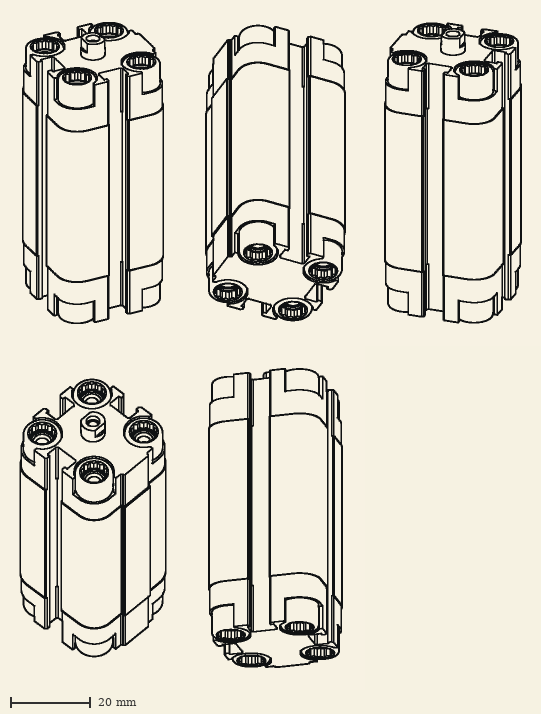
import cadquery as cq
import math

TOTAL_HEIGHT = 72.5
HOUSING_HEIGHT = 68.0
CAP_HEIGHT = 12.5

HALF_WIDTH = 14.5
SCREW_OFFSET = 9.0
CORNER_RADIUS = HALF_WIDTH - SCREW_OFFSET
RIDGE_HALF_WIDTH = 4.7
RIDGE_BASE_BEVEL = 0.3
BARREL_RIDGE_HEIGHT = 1.0
BARREL_RIDGE_BEVEL = 0.15

CAP_INSET = 0.2
CAP_RIDGE_HEIGHT = 0.9
CAP_RIDGE_BEVEL = 0.3

SLOT_NECK_HALF_WIDTH = 2.6
SLOT_HALF_WIDTH = 3.4
SLOT_FLOOR = 9.4
SLOT_LIP = 1.6
BARREL_LIP_CHAMFER = 0.3
CAP_LIP_CHAMFER = 0.4
CAP_SLOT_CHAMFER = 0.4

HEAD_DIAMETER = 9.5
HEAD_HEIGHT = 6.1
HEAD_FILLET = 0.65
POCKET_DIAMETER = 10.1
POCKET_OPENING = 2.3
SOCKET_POINTS = 12
SOCKET_TIP_DIAMETER = 6.8
SOCKET_ROOT_DIAMETER = 6.0
SOCKET_DEPTH = 2.5
SOCKET_MOUTH_DIAMETER = 7.2
SOCKET_LEAD_IN = 0.3
BORE_DIAMETER = 5.7
BORE_DEPTH = 3.1
BORE_CONE_DIAMETER = 4.5
BORE_CONE_DEPTH = 0.7
SCREW_HOLE_DIAMETER = 3.25

ROD_DIAMETER = 6.0
ROD_BURIED_LENGTH = 14.5
ROD_FLAT_WIDTH = 4.9
ROD_FLAT_HEIGHT = 2.6
ROD_HOLE_DIAMETER = 2.5
ROD_HOLE_DEPTH = 7.25
ROD_HOLE_MOUTH_DIAMETER = 3.3
ROD_HOLE_MOUTH_DEPTH = 1.45
DRILL_TIP_ANGLE = 120.0
DRILL_TIP_DEPTH = ROD_HOLE_DIAMETER / 2 / math.tan(math.radians(DRILL_TIP_ANGLE / 2))

SCREW_SPOTS = [(sx * SCREW_OFFSET, sy * SCREW_OFFSET) for sx in (-1, 1) for sy in (-1, 1)]
SLOT_ANGLES = (0, 180, 270)
POCKET_ANGLE = 45.0


def body_block(inset, height, ridge_height, ridge_bevel):
    """Rounded square bar standing on Z = 0, with a bevelled ridge along its +Y side."""
    face = HALF_WIDTH - inset
    bar = (
        cq.Workplane("XY")
        .rect(2 * face, 2 * face)
        .extrude(height)
        .edges("|Z")
        .fillet(CORNER_RADIUS - inset)
    )
    ridge_side = RIDGE_HALF_WIDTH - inset
    ridge_top = face + ridge_height
    right_edge = [
        (ridge_side + RIDGE_BASE_BEVEL, 0),
        (ridge_side + RIDGE_BASE_BEVEL, face),
        (ridge_side, face + RIDGE_BASE_BEVEL),
        (ridge_side, ridge_top - ridge_bevel),
        (ridge_side - ridge_bevel, ridge_top),
    ]
    left_edge = [(-x, y) for x, y in reversed(right_edge)]
    ridge = cq.Workplane("XY").polyline(right_edge + left_edge).close().extrude(height)
    return bar.union(ridge)


def slot_cutter(inset, height, lip_chamfer):
    """Plain T-slot along the +X side, with the outer edges of its neck bevelled."""
    face = HALF_WIDTH - inset
    lip_inside = HALF_WIDTH - SLOT_LIP
    upper_edge = [
        (SLOT_FLOOR, SLOT_HALF_WIDTH),
        (lip_inside, SLOT_HALF_WIDTH),
        (lip_inside, SLOT_NECK_HALF_WIDTH),
        (face - lip_chamfer, SLOT_NECK_HALF_WIDTH),
        (face, SLOT_NECK_HALF_WIDTH + lip_chamfer),
    ]
    lower_edge = [(x, -y) for x, y in reversed(upper_edge)]
    return cq.Workplane("XY").polyline(upper_edge + lower_edge).close().extrude(height)


def cap_slot_cutter():
    """T-slot of a cap, whose two floor corners are bevelled as well."""
    slot = slot_cutter(CAP_INSET, CAP_HEIGHT, CAP_LIP_CHAMFER)
    return slot.edges("|Z and <X").chamfer(CAP_SLOT_CHAMFER)


def cut_slots(block, slot):
    """Cut the slot into the +X, -X and -Y sides."""
    for angle in SLOT_ANGLES:
        block = block.cut(slot.rotate((0, 0, 0), (0, 0, 1), angle))
    return block


def screw_pocket():
    """Corner clearance round the head at the (+X, +Y) screw, with its floor at Z = 0."""
    round_part = cq.Workplane("XY").circle(POCKET_DIAMETER / 2).extrude(HEAD_HEIGHT)
    open_corner = (
        cq.Workplane("XY")
        .rect(HALF_WIDTH, HALF_WIDTH, centered=False)
        .extrude(HEAD_HEIGHT)
        .translate((-POCKET_OPENING, -POCKET_OPENING, 0))
    )
    return round_part.union(open_corner)


def socket_cutter():
    """Twelve-point socket, bore and countersink, measured down from the head top at Z = 0."""
    points = []
    for i in range(2 * SOCKET_POINTS):
        radius = (SOCKET_ROOT_DIAMETER if i % 2 else SOCKET_TIP_DIAMETER) / 2
        angle = math.pi * i / SOCKET_POINTS
        points.append((radius * math.cos(angle), radius * math.sin(angle)))
    star = cq.Workplane("XY").polyline(points).close().extrude(-SOCKET_DEPTH)
    bore_floor = -BORE_DEPTH
    cone_bottom = bore_floor - BORE_CONE_DEPTH
    stepped_bore = (
        cq.Workplane("XZ")
        .polyline([
            (0, 0),
            (SOCKET_MOUTH_DIAMETER / 2, 0),
            (SOCKET_ROOT_DIAMETER / 2, -SOCKET_LEAD_IN),
            (BORE_DIAMETER / 2, -SOCKET_LEAD_IN),
            (BORE_DIAMETER / 2, bore_floor),
            (BORE_CONE_DIAMETER / 2, bore_floor),
            (SCREW_HOLE_DIAMETER / 2, cone_bottom),
            (0, cone_bottom),
        ])
        .close()
        .revolve(360, (0, 0, 0), (0, 1, 0))
    )
    return star.union(stepped_bore)


def add_screw_end(cap):
    """Cut the corner pockets into a top cap and fill each with its socketed head."""
    pocket = screw_pocket()
    head = (
        cq.Workplane("XY")
        .circle(HEAD_DIAMETER / 2)
        .extrude(HEAD_HEIGHT)
        .faces(">Z")
        .edges()
        .fillet(HEAD_FILLET)
    )
    socket = socket_cutter()
    pocket_floor = HOUSING_HEIGHT - HEAD_HEIGHT
    for x, y in SCREW_SPOTS:
        turn = math.degrees(math.atan2(y, x)) - POCKET_ANGLE
        turned_pocket = pocket.rotate((0, 0, 0), (0, 0, 1), turn)
        cap = cap.cut(turned_pocket.translate((x, y, pocket_floor)))
        cap = cap.union(head.translate((x, y, pocket_floor)))
        cap = cap.cut(socket.translate((x, y, HOUSING_HEIGHT)))
    return cap


def make_cap():
    """Upper end cap with its slots and four screw heads."""
    cap = body_block(CAP_INSET, CAP_HEIGHT, CAP_RIDGE_HEIGHT, CAP_RIDGE_BEVEL)
    cap = cut_slots(cap, cap_slot_cutter())
    return add_screw_end(cap.translate((0, 0, HOUSING_HEIGHT - CAP_HEIGHT)))


def make_barrel():
    """Slotted extrusion between the two caps."""
    length = HOUSING_HEIGHT - 2 * CAP_HEIGHT
    barrel = body_block(0, length, BARREL_RIDGE_HEIGHT, BARREL_RIDGE_BEVEL)
    barrel = cut_slots(barrel, slot_cutter(0, length, BARREL_LIP_CHAMFER))
    return barrel.translate((0, 0, CAP_HEIGHT))


def make_housing():
    """Barrel with mirrored caps, the screw holes right through and the bore for the rod."""
    cap = make_cap()
    lower_cap = cap.mirror("XY", (0, 0, HOUSING_HEIGHT / 2))
    housing = make_barrel().union(cap).union(lower_cap)
    screw_holes = (
        cq.Workplane("XY")
        .pushPoints(SCREW_SPOTS)
        .circle(SCREW_HOLE_DIAMETER / 2)
        .extrude(HOUSING_HEIGHT)
    )
    rod_bore = (
        cq.Workplane("XY", origin=(0, 0, HOUSING_HEIGHT))
        .circle(ROD_DIAMETER / 2)
        .extrude(-ROD_BURIED_LENGTH)
    )
    return housing.cut(screw_holes).cut(rod_bore)


def make_rod():
    """Piston rod with two wrench flats and a counterbored blind hole in its end."""
    bottom = HOUSING_HEIGHT - ROD_BURIED_LENGTH
    rod = (
        cq.Workplane("XY", origin=(0, 0, bottom))
        .circle(ROD_DIAMETER / 2)
        .extrude(TOTAL_HEIGHT - bottom)
    )
    flat_depth = (ROD_DIAMETER - ROD_FLAT_WIDTH) / 2
    flats = (
        cq.Workplane("XY", origin=(0, 0, TOTAL_HEIGHT))
        .pushPoints([(0, side * (ROD_FLAT_WIDTH + flat_depth) / 2) for side in (-1, 1)])
        .rect(ROD_DIAMETER, flat_depth)
        .extrude(-ROD_FLAT_HEIGHT)
    )
    radius = ROD_HOLE_DIAMETER / 2
    mouth_radius = ROD_HOLE_MOUTH_DIAMETER / 2
    hole = (
        cq.Workplane("XZ")
        .polyline([
            (0, TOTAL_HEIGHT),
            (mouth_radius, TOTAL_HEIGHT),
            (mouth_radius, TOTAL_HEIGHT - ROD_HOLE_MOUTH_DEPTH),
            (radius, TOTAL_HEIGHT - ROD_HOLE_MOUTH_DEPTH),
            (radius, TOTAL_HEIGHT - ROD_HOLE_DEPTH),
            (0, TOTAL_HEIGHT - ROD_HOLE_DEPTH - DRILL_TIP_DEPTH),
        ])
        .close()
        .revolve(360, (0, 0, 0), (0, 1, 0))
    )
    return rod.cut(flats).cut(hole)


housing = make_housing()
rod = make_rod()
result = cq.Compound.makeCompound([housing.solids().val(), rod.solids().val()])